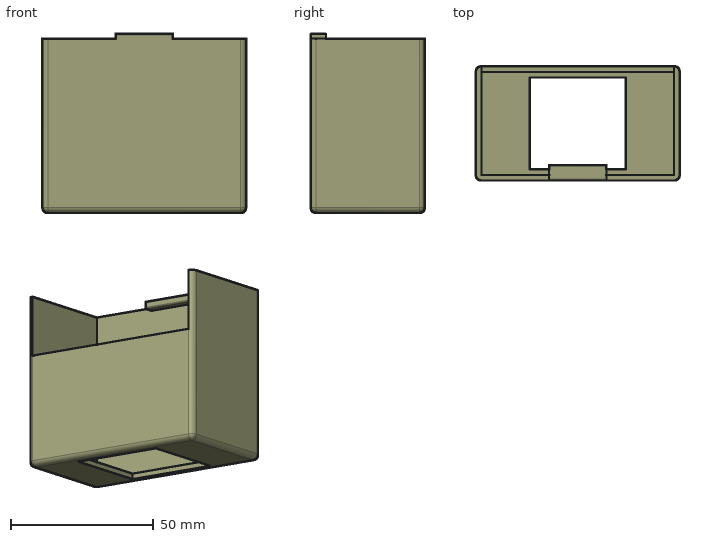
import cadquery as cq

length = 71.8
depth = 40.3
wall = 2.0
side_height = 61.4
back_height = 40.1
edge_radius = 2.0

total_height = 63.1
tab_length = 20.1
tab_reach = 5.5
tab_thickness = 2.7
tab_edge_radius = 0.5

inner_length = length - 2 * wall
inner_depth = depth - 2 * wall

window_length = 33.75
window_depth = inner_depth - 2 * wall


def upright_block(size_x, size_y, base, top):
    """Block centred on X and Y, spanning base to top in Z."""
    return (
        cq.Workplane("XY")
        .workplane(offset=base)
        .rect(size_x, size_y)
        .extrude(top - base)
    )


def make_shell():
    """Rounded box with a square-cornered cavity and a floor window."""
    body = upright_block(length, depth, 0, side_height)
    body = body.edges("|Z or <Z").fillet(edge_radius)
    cavity = upright_block(inner_length, inner_depth, wall, side_height)
    window = upright_block(window_length, window_depth, 0, wall)
    return body.cut(cavity).cut(window)


def make_back_cutout():
    """Space above the lowered back wall, between the side walls."""
    cutout = upright_block(inner_length, 2 * wall, back_height, side_height)
    return cutout.translate((0, depth / 2, 0))


def make_tab():
    """Flat tab on the front wall, reaching inward, with rounded top and inner edges."""
    tab = upright_block(tab_length, tab_reach, total_height - tab_thickness, total_height)
    tab = tab.edges("|X and (>Z or >Y)").fillet(tab_edge_radius)
    return tab.translate((0, (tab_reach - depth) / 2, 0))


result = make_shell().cut(make_back_cutout()).union(make_tab())